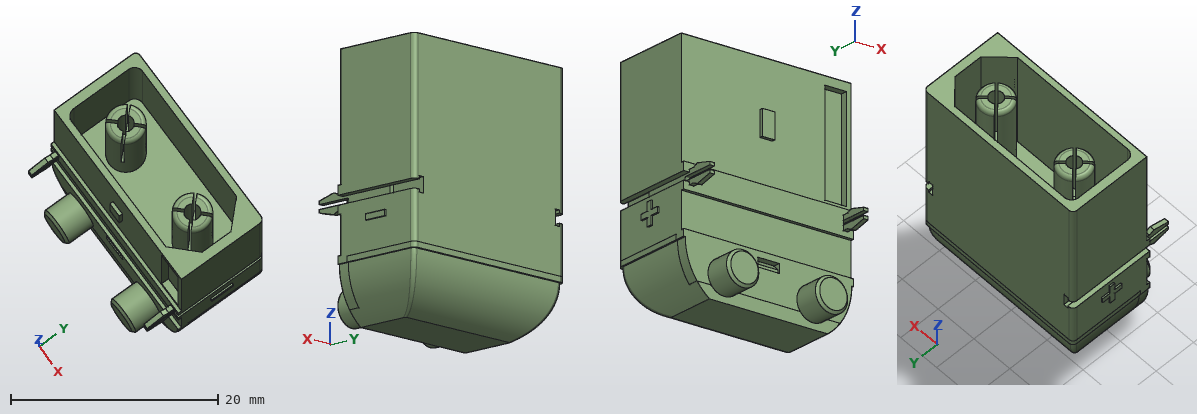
import cadquery as cq
import math

total_height = 27.1
body_width = 20.8
body_depth = 10.3
face_relief = 0.38
corner_radius = 0.55
half_width = body_width / 2

cavity_floor = 13.6
cavity_half_width = 9.4
back_wall = 0.75
front_wall = 0.7
cavity_radius = 0.95
key_chamfer = 2.5

clip_band_bottom = 10.68
clip_band_top = 13.6
pad_width = 1.52
pad_bottom = 18.62
pad_height = 2.93

pocket_left = 7.18
pocket_width = 2.65
pocket_bottom = 14.1
pocket_height = 12.0
pocket_depth = 0.8

split_height = 6.35
tongue_band_top = 6.55
tongue_bottom = 1.5
tongue_thickness = 1.22
foot_height = 5.75
foot_side_step = 0.2
foot_back_step = 0.25
foot_side_radius = 7.05
foot_back_radius = 6.12
foot_edge_radius = 0.4

window_width = 2.63
window_bottom = 4.82
window_top = 5.85
ramp_break = 5.23
ramp_foot_setback = 0.2
ramp_head_setback = 0.8

contact_spacing = 10.9
contact_y = 5.35
contact_radius = 1.98
contact_top = 26.02
tail_height = 2.68
tail_length = 3.2
tail_chamfer = 0.3
tip_radius = 0.5
tip_bore_radius = 0.8
tip_slot_width = 0.3
tip_slot_depth = 8.13

groove_bottom = 11.6
groove_top = 12.6
groove_depth = 0.7
clip_thickness = 0.55
clip_back = 6.31
clip_half_height = 0.8
barb_half_height = 1.08
barb_start = -0.62
barb_peak = -1.25
tip_half_height = 0.6
clip_slit = 0.5
clip_slit_end = 0.7
slit_end_radius = 0.2

mark_height = 0.2
mark_length = 2.6
mark_width = 0.62
mark_y = 5.18
mark_z = 9.75

groove_z = (groove_bottom + groove_top) / 2
clip_outer_x = half_width - groove_depth
clip_inner_x = clip_outer_x - clip_thickness
contact_places = (-contact_spacing / 2, contact_spacing / 2)
sides = (-1, 1)


def block(x_min, x_max, y_min, y_max, z_min, z_max):
    size = (x_max - x_min, y_max - y_min, z_max - z_min)
    return cq.Workplane("XY").box(*size, centered=False).translate((x_min, y_min, z_min))


def centered_block(width, y_min, y_max, z_min, z_max):
    return block(-width / 2, width / 2, y_min, y_max, z_min, z_max)


def body_block(y_min, z_min, z_max):
    """Full-width block that reaches the rounded back face."""
    blank = centered_block(body_width, y_min, body_depth, z_min, z_max)
    return blank.edges("|Z and >Y").fillet(corner_radius)


def arc_inset(radius, drop):
    """Inward travel of an arc that starts vertical, after falling by drop."""
    return radius - math.sqrt(radius**2 - drop**2)


def make_foot():
    """Outer shape below the split, before it is divided into tongue and cover."""
    side = half_width - foot_side_step
    back = body_depth - foot_back_step
    middle = foot_height / 2
    side_mid = side - arc_inset(foot_side_radius, middle)
    side_end = side - arc_inset(foot_side_radius, foot_height)
    back_mid = back - arc_inset(foot_back_radius, middle)
    back_end = back - arc_inset(foot_back_radius, foot_height)
    side_profile = (
        cq.Workplane("XZ")
        .moveTo(-side, foot_height)
        .lineTo(side, foot_height)
        .threePointArc((side_mid, middle), (side_end, 0))
        .lineTo(-side_end, 0)
        .threePointArc((-side_mid, middle), (-side, foot_height))
        .close()
        .extrude(-body_depth)
    )
    back_profile = (
        cq.Workplane("YZ")
        .moveTo(0, foot_height)
        .lineTo(back, foot_height)
        .threePointArc((back_mid, middle), (back_end, 0))
        .lineTo(0, 0)
        .close()
        .extrude(half_width, both=True)
    )
    rounded = side_profile.intersect(back_profile)
    margin = foot_edge_radius / 2
    low = (-half_width, back_end - margin, margin)
    high = (half_width, body_depth, foot_height - margin)
    curved_edges = cq.selectors.BoxSelector(low, high)
    rounded = rounded.edges(curved_edges).fillet(foot_edge_radius)
    return rounded.union(body_block(0, foot_height, split_height))


def tongue_space():
    return centered_block(body_width, 0, tongue_thickness, tongue_bottom, split_height)


def snap_window():
    return centered_block(window_width, 0, tongue_thickness, window_bottom, window_top)


def bent_rod(x, top, reach):
    """Round rod that runs down from top, turns and ends at y = -reach."""
    upright = (
        cq.Workplane("XY", origin=(x, contact_y, tail_height))
        .circle(contact_radius)
        .extrude(top - tail_height)
    )
    tail = (
        cq.Workplane("XZ", origin=(x, contact_y, tail_height))
        .circle(contact_radius)
        .extrude(contact_y + reach)
    )
    elbow = cq.Workplane("XY").sphere(contact_radius).translate((x, contact_y, tail_height))
    return upright.union(tail).union(elbow)


def make_contact(x):
    contact = bent_rod(x, contact_top, tail_length)
    contact = contact.faces("<Y").chamfer(tail_chamfer)
    contact = contact.faces(">Z").edges().fillet(tip_radius)
    slot_bottom = contact_top - tip_slot_depth
    bore = cq.Workplane("XY", origin=(x, contact_y, slot_bottom)).circle(tip_bore_radius)
    contact = contact.cut(bore.extrude(tip_slot_depth))
    slot_length = 3 * contact_radius
    for angle in (45, 135):
        slot = cq.Workplane("XY").box(slot_length, tip_slot_width, tip_slot_depth)
        slot = slot.rotate((0, 0, 0), (0, 0, 1), angle)
        contact = contact.cut(slot.translate((x, contact_y, contact_top - tip_slot_depth / 2)))
    return contact


def contact_hole(x):
    """Passage for one contact, from the cavity floor to the board face."""
    return bent_rod(x, cavity_floor, 0)


def make_clip(side):
    """Flat clip with two barbed prongs; side is -1 or +1."""
    upper = [
        (clip_back, clip_half_height),
        (barb_start, clip_half_height),
        (barb_peak, barb_half_height),
        (-tail_length, tip_half_height),
    ]
    lower = [(y, -z) for y, z in reversed(upper)]
    plate = (
        cq.Workplane("YZ", origin=(clip_inner_x, 0, groove_z))
        .polyline(upper + lower)
        .close()
        .extrude(clip_thickness)
    )
    slit = block(
        clip_inner_x, clip_outer_x, -tail_length, clip_slit_end,
        groove_z - clip_slit / 2, groove_z + clip_slit / 2,
    )
    plate = plate.cut(slit.edges("|X and >Y").fillet(slit_end_radius))
    return plate if side > 0 else plate.mirror("YZ")


def clip_slot(side):
    """Slot from the board face through the back, open to the shallower groove beside it."""
    slot = block(
        clip_inner_x, clip_outer_x, 0, body_depth,
        groove_z - clip_half_height, groove_z + clip_half_height,
    )
    groove = block(clip_outer_x, half_width, 0, body_depth, groove_bottom, groove_top)
    slot = slot.union(groove)
    return slot if side > 0 else slot.mirror("YZ")


def mark_bar(side, length_y, length_z):
    bar = cq.Workplane("XY").box(mark_height, length_y, length_z)
    return bar.translate((side * (half_width + mark_height / 2), mark_y, mark_z))


def make_cavity():
    back = body_depth - back_wall
    front = face_relief + front_wall
    outline = cq.Workplane("XY", origin=(0, 0, cavity_floor))
    outline = outline.moveTo(-cavity_half_width, front).lineTo(cavity_half_width - key_chamfer, front)
    outline = outline.lineTo(cavity_half_width, front + key_chamfer)
    outline = outline.lineTo(cavity_half_width, back - key_chamfer)
    outline = outline.lineTo(cavity_half_width - key_chamfer, back)
    outline = outline.lineTo(-cavity_half_width, back).close()
    cavity = outline.extrude(total_height - cavity_floor)
    return cavity.edges("|Z and <X").fillet(cavity_radius)


def make_housing():
    housing = body_block(face_relief, split_height, total_height)
    housing = housing.union(centered_block(body_width, 0, face_relief, clip_band_bottom, clip_band_top))
    housing = housing.union(centered_block(body_width, 0, face_relief, split_height, tongue_band_top))
    housing = housing.union(centered_block(pad_width, 0, face_relief, pad_bottom, pad_bottom + pad_height))
    housing = housing.union(make_foot().intersect(tongue_space()))
    housing = housing.cut(make_cavity())
    housing = housing.cut(
        block(
            pocket_left, pocket_left + pocket_width, face_relief, face_relief + pocket_depth,
            pocket_bottom, pocket_bottom + pocket_height,
        )
    )
    housing = housing.cut(snap_window())
    for x in contact_places:
        housing = housing.cut(contact_hole(x))
    for side in sides:
        housing = housing.cut(clip_slot(side))
        housing = housing.union(mark_bar(side, mark_length, mark_width))
    return housing.union(mark_bar(-1, mark_width, mark_length))


def make_cover():
    ramp = (
        cq.Workplane("YZ")
        .moveTo(tongue_thickness, window_bottom)
        .lineTo(ramp_foot_setback, window_bottom)
        .lineTo(ramp_foot_setback, ramp_break)
        .lineTo(ramp_head_setback, window_top)
        .lineTo(tongue_thickness, window_top)
        .close()
        .extrude(window_width / 2, both=True)
    )
    cover = make_foot().cut(tongue_space()).union(ramp)
    for x in contact_places:
        cover = cover.cut(contact_hole(x))
    return cover


housing = make_housing()
cover = make_cover()
contacts = [make_contact(x) for x in contact_places]
clips = [make_clip(side) for side in sides]

bodies = [housing, cover, *contacts, *clips]
result = cq.Compound.makeCompound([body.solids().val() for body in bodies])